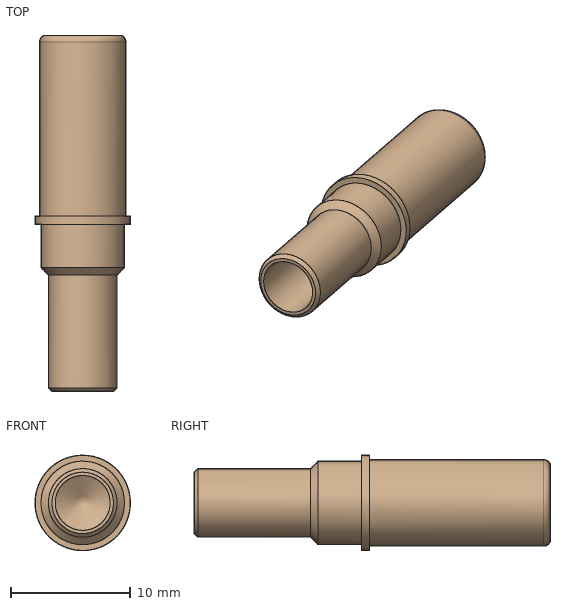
import cadquery as cq
import math

overall_length = 29.84
barrel_radius = 2.875
shoulder_radius = 3.5
collar_radius = 4.005
body_radius = 3.625

barrel_length = 9.75
shoulder_length = 4.25
collar_length = 0.7

barrel_chamfer = 0.3
shoulder_chamfer = shoulder_radius - barrel_radius
body_round_length = 0.55
body_round_depth = 0.38

bore_radius = 2.3
bore_depth = barrel_length
drill_point_angle = 118.0

barrel_end_y = -overall_length / 2
shoulder_y = barrel_end_y + barrel_length
collar_y = shoulder_y + shoulder_length
body_y = collar_y + collar_length
body_end_y = overall_length / 2


def revolve_about_y(half_profile):
    """Turn a closed half profile (radius on X, station on Y) into a full solid."""
    return half_profile.revolve(360, (0, 0, 0), (0, 1, 0))


def make_outer_body():
    """Stepped outside: chamfered barrel, shoulder, collar and round-edged body."""
    body_end_radius = body_radius - body_round_depth
    round_start_y = body_end_y - body_round_length
    profile = (
        cq.Workplane("XY")
        .moveTo(0, barrel_end_y)
        .lineTo(barrel_radius - barrel_chamfer, barrel_end_y)
        .lineTo(barrel_radius, barrel_end_y + barrel_chamfer)
        .lineTo(barrel_radius, shoulder_y)
        .lineTo(shoulder_radius, shoulder_y + shoulder_chamfer)
        .lineTo(shoulder_radius, collar_y)
        .lineTo(collar_radius, collar_y)
        .lineTo(collar_radius, body_y)
        .lineTo(body_radius, body_y)
        .lineTo(body_radius, round_start_y)
        .tangentArcPoint((body_end_radius, body_end_y), relative=False)
        .lineTo(0, body_end_y)
        .close()
    )
    return revolve_about_y(profile)


def make_bore():
    """Blind hole from the barrel end, closed by a conical drill point."""
    bore_bottom_y = barrel_end_y + bore_depth
    drill_point_length = bore_radius / math.tan(math.radians(drill_point_angle / 2))
    profile = (
        cq.Workplane("XY")
        .moveTo(0, barrel_end_y)
        .lineTo(bore_radius, barrel_end_y)
        .lineTo(bore_radius, bore_bottom_y)
        .lineTo(0, bore_bottom_y + drill_point_length)
        .close()
    )
    return revolve_about_y(profile)


result = make_outer_body().cut(make_bore())